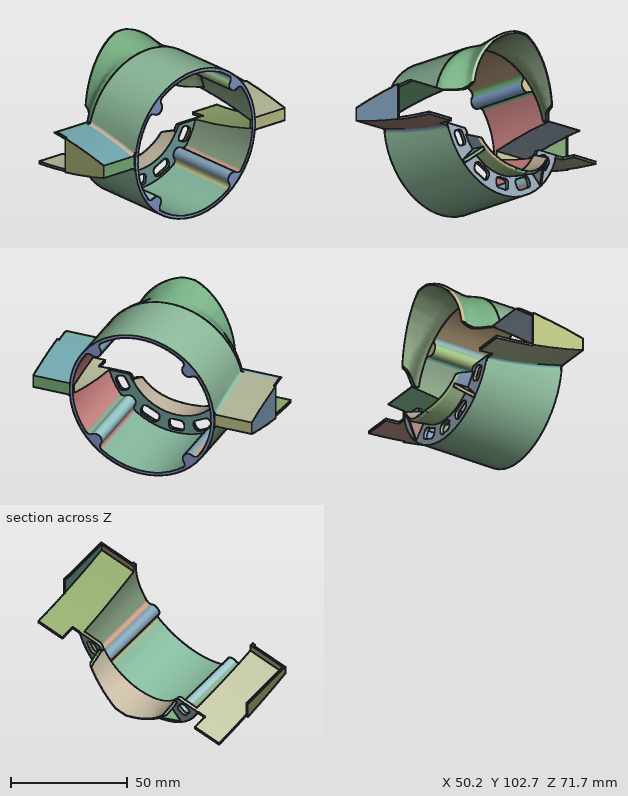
import cadquery as cq
import math

TILT = 1.0
TUBE_R = 34.0
WALL = 1.5
BORE_R = TUBE_R - WALL
UPPER_X = -31.0
FLANGE_X = -37.5
FLANGE_T = 1.5
RIM_OVERRUN_X = -54.0

WING_END_X = -TUBE_R * math.sin(math.radians(TILT))
WING_Y = 50.35
WING_END_Z = 2.85
WING_SLOPE = 0.26
ARCH_R = 203.0
PLATE_T = 1.1
BACK_T = 1.0
TOP_ROUND_X = -30.65
TOP_TIP_X = -34.4
TOP_ROUND_SAG = 0.22
BOTTOM_TIP_X = -44.2
NOTCH_X = -37.4
NOTCH_Y = 36.9
CHEEK_X = -26.0
CHEEK_T = 1.0
ROOT_FILLET = 1.5
ROOT_Y = (30.0, 35.0)
ROOT_Z = 15.0

MOUTH_HALF_W = 24.8
MOUTH_HALF_H = 29.6
MOUTH_CENTRE_Z = 7.28
SHELL_T = 1.2
HOOD_START = math.radians(8)
HOOD_POINTS = 17
HOOD_SECTIONS = 17
SLOPE_STEP = 0.01
HOOD_OVERLAP = 1.0
HOOD_END_X = UPPER_X + HOOD_OVERLAP
HOOD_END_R = TUBE_R - 0.15
SHOULDER_MIN = 2.0
SHOULDER_REACH = 11.0
HOOD_EDGE = [(-45.2, 11.8), (-44.3, 10.8), (-40.0, 8.4), (-37.5, 8.0)]

RIM_X = -49.59
RIM_FLAT_Y = 3.0
RIM_SIDE_X = -44.3
RIM_SIDE_Y = 24.3

LIP_CENTRE_Z = -0.9
LIP_R_FLANGE = 24.2
LIP_R_RIM = 25.8
RIM_FILLET = 1.0
RIM_MARGIN = 0.2
FLANGE_CORNER_R = 2.0
LIP_EDGE = [(-45.8, -13.75), (-37.8, -10.8)]
SLOT_R = 28.7
SLOT_W = 5.1
SLOT_CORNER = 1.9
SLOTS = [(0, 7.2), (25.5, 8.8), (-25.5, 8.8), (61.5, 7.0), (-61.5, 7.0)]
GUSSET_T = 1.6
GUSSET_TIP_X = -44.6
GUSSET_R = 33.4
GUSSET_ANGLE = 44.0
BOSS_R = 2.9
BOSS_CENTRE_R = 31.0
BOSS_ANGLE = 45.0
BOSS_FILLET = 2.0

FAR = 60.0


def x_cylinder(radius, x_start, x_end):
    return cq.Workplane("YZ", origin=(x_start, 0, 0)).circle(radius).extrude(x_end - x_start)


def block(x_range, y_range, z_range):
    corners = (x_range, y_range, z_range)
    sizes = [high - low for low, high in corners]
    middle = tuple((high + low) / 2 for low, high in corners)
    return cq.Workplane("XY").box(*sizes).translate(middle)


def tilted(body):
    return body.rotate((0, 0, 0), (0, 1, 0), TILT)


def y_prism(sketch, half_width):
    return sketch.extrude(half_width, both=True)


def arch_z(x):
    """Height of the outer wing surface above the wing's middle plane."""
    run = WING_END_X - x
    return WING_END_Z + WING_SLOPE * run - run ** 2 / (2 * ARCH_R)


def arch_point(x, side, inset=0.0):
    return (x, side * (arch_z(x) - inset))


def wing_outer():
    """Solid envelope of both wings, wider where the end plates sit."""
    tip = arch_point(TOP_TIP_X, 1, PLATE_T)
    round_mid = arch_point((TOP_TIP_X + TOP_ROUND_X) / 2, 1, TOP_ROUND_SAG)
    mid_x = WING_END_X / 2
    profile = (
        cq.Workplane("XZ")
        .moveTo(*arch_point(WING_END_X, -1))
        .lineTo(*arch_point(WING_END_X, 1))
        .threePointArc(arch_point(mid_x + TOP_ROUND_X / 2, 1), arch_point(TOP_ROUND_X, 1))
        .threePointArc(round_mid, tip)
        .lineTo(*arch_point(BOTTOM_TIP_X, -1, PLATE_T))
        .lineTo(*arch_point(BOTTOM_TIP_X, -1))
        .threePointArc(arch_point(mid_x + BOTTOM_TIP_X / 2, -1), arch_point(WING_END_X, -1))
        .close()
    )
    wing = y_prism(profile, WING_Y + CHEEK_T)
    for side in (1, -1):
        y_range = sorted((side * WING_Y, side * FAR))
        wing = wing.cut(block((-FAR, CHEEK_X), y_range, (-FAR, FAR)))
    return wing


def wing_inner():
    """Duct through both wings, open at the front and closed at the back."""
    back_x = WING_END_X - BACK_T
    front_x = RIM_OVERRUN_X
    mid_x = (back_x + front_x) / 2
    profile = (
        cq.Workplane("XZ")
        .moveTo(*arch_point(back_x, -1, PLATE_T))
        .lineTo(*arch_point(back_x, 1, PLATE_T))
        .threePointArc(arch_point(mid_x, 1, PLATE_T), arch_point(front_x, 1, PLATE_T))
        .lineTo(*arch_point(front_x, -1, PLATE_T))
        .threePointArc(arch_point(mid_x, -1, PLATE_T), arch_point(back_x, -1, PLATE_T))
        .close()
    )
    return y_prism(profile, WING_Y)


def tube_outer():
    """Solid tube envelope; its lower half reaches further forward to the flange."""
    tube = tilted(x_cylinder(TUBE_R, FLANGE_X, 0))
    above_front = tilted(block((-FAR, UPPER_X), (-FAR, FAR), (0, FAR)))
    return tube.cut(above_front)


def tube_and_wings():
    """Both outer shapes joined with filleted roots, then bored; the ducts are still solid."""
    body = tube_outer().union(wing_outer())
    for side in (1, -1):
        y_range = sorted((side * ROOT_Y[0], side * ROOT_Y[1]))
        roots = cq.selectors.BoxSelector((UPPER_X, y_range[0], -ROOT_Z), (-1, y_range[1], ROOT_Z))
        body = body.edges(roots).fillet(ROOT_FILLET)
    notch = block((-FAR, NOTCH_X), (-NOTCH_Y, NOTCH_Y), (-ROOT_Z, ROOT_Z))
    body = body.cut(notch.cut(tube_outer()))
    body = body.cut(tilted(x_cylinder(BORE_R, FLANGE_X + FLANGE_T, FAR)))
    opening = x_cylinder(LIP_R_FLANGE - SHELL_T, -FAR, 0).translate((0, 0, LIP_CENTRE_Z))
    return body.cut(tilted(opening))


def boss(angle, x_start):
    rod = x_cylinder(BOSS_R, x_start, 0).translate((0, 0, -BOSS_CENTRE_R))
    rod = rod.rotate((0, 0, 0), (1, 0, 0), angle)
    return tilted(rod.intersect(x_cylinder(BORE_R + WALL / 2, x_start, 0)))


def add_bosses(body):
    """Four half-round ridges along the bore, blended into the wall."""
    for side in (1, -1):
        body = body.union(boss(side * BOSS_ANGLE, FLANGE_X + FLANGE_T / 2))
        body = body.union(boss(180 + side * BOSS_ANGLE, UPPER_X))
    axis = cq.Vector(math.cos(math.radians(TILT)), 0, -math.sin(math.radians(TILT)))
    near = BOSS_CENTRE_R * math.sin(math.radians(BOSS_ANGLE)) - 2 * BOSS_R
    far = near + 4 * BOSS_R
    for y_side in (1, -1):
        for z_side in (1, -1):
            low, high = sorted((y_side * near, y_side * far))
            bottom, top = sorted((z_side * near, z_side * far))
            zone = cq.selectors.BoxSelector((-FAR, low, bottom), (0, high, top))
            seams = body.edges(cq.selectors.ParallelDirSelector(axis)).edges(zone)
            body = seams.fillet(BOSS_FILLET)
    return body


def round_flange_corners(body):
    """Round the two top corners of the flange opening."""
    back = FLANGE_X + FLANGE_T
    half_width = LIP_R_FLANGE
    depth = arch_z(FLANGE_X)
    low_corner = (FLANGE_X, -half_width, -depth)
    high_corner = (back, half_width, -depth + 2 * PLATE_T)
    zone = cq.selectors.BoxSelector(low_corner, high_corner)
    return body.edges(zone).fillet(FLANGE_CORNER_R)


def mouth_radius(angle):
    """Distance from the tube axis to the mouth ellipse."""
    c = math.cos(angle) / MOUTH_HALF_W
    s = math.sin(angle) / MOUTH_HALF_H
    offset = MOUTH_CENTRE_Z / MOUTH_HALF_H
    a = c ** 2 + s ** 2
    b = s * offset
    return (b + math.sqrt(b ** 2 + a * (1 - offset ** 2))) / a


def hood_radius(x, angle):
    """Outer radius of the hood: a roof-like taper plus an S-shaped shoulder at the sides."""
    x = min(x, UPPER_X)
    length = UPPER_X - RIM_X
    r_mouth = mouth_radius(angle)
    crest_drop = mouth_radius(math.pi / 2) - HOOD_END_R
    drop = crest_drop * math.sin(angle)
    shoulder_length = SHOULDER_REACH * abs(math.cos(angle)) + SHOULDER_MIN
    shoulder_step = HOOD_END_R - r_mouth + drop
    t = min(max(1 + (x - UPPER_X) / shoulder_length, 0), 1)
    return r_mouth - drop * (x - RIM_X) / length + shoulder_step * t * t * (3 - 2 * t)


def hood_section(x, inset):
    """Closed D-shaped section of the hood at x, moved in by the inset measured across the wall."""
    span = math.pi - 2 * HOOD_START
    points = []
    for k in range(HOOD_POINTS):
        angle = HOOD_START + span * k / (HOOD_POINTS - 1)
        rise = hood_radius(x + SLOPE_STEP, angle) - hood_radius(x - SLOPE_STEP, angle)
        grade = rise / (2 * SLOPE_STEP)
        r = hood_radius(x, angle) - inset * math.hypot(1, grade)
        points.append(cq.Vector(x, r * math.cos(angle), r * math.sin(angle)))
    arch = cq.Edge.makeSpline(points)
    return cq.Wire.assembleEdges([arch, cq.Edge.makeLine(points[-1], points[0])])


def hood_loft(inset):
    length = HOOD_END_X - RIM_OVERRUN_X
    stations = [RIM_OVERRUN_X + length * k / (HOOD_SECTIONS - 1) for k in range(HOOD_SECTIONS)]
    return cq.Workplane(cq.Solid.makeLoft([hood_section(x, inset) for x in stations]))


def hood():
    """Thin shell from the tube to the mouth, with its lower side edges cut back."""
    body = hood_loft(0).cut(hood_loft(SHELL_T))
    below = (
        cq.Workplane("XZ")
        .polyline([(-FAR, HOOD_EDGE[0][1])] + HOOD_EDGE + [(0, HOOD_EDGE[-1][1]), (0, 0), (-FAR, 0)])
        .close()
    )
    return rounded_rim(tilted(body)).cut(y_prism(below, FAR))


def lip():
    """Conical spout reaching forward from the flange opening."""
    x_in = FLANGE_X + FLANGE_T
    grow = (LIP_R_RIM - LIP_R_FLANGE) / (FLANGE_X - RIM_X)
    r_in = LIP_R_FLANGE - grow * FLANGE_T
    r_out = LIP_R_FLANGE + grow * (FLANGE_X - RIM_OVERRUN_X)
    ring = (
        cq.Workplane("XY")
        .polyline([
            (x_in, r_in - SHELL_T), (x_in, r_in),
            (RIM_OVERRUN_X, r_out), (RIM_OVERRUN_X, r_out - SHELL_T),
        ])
        .close()
        .revolve(360, (0, 0, 0), (1, 0, 0))
    )
    (x1, z1), (x2, z2) = LIP_EDGE
    keep = (
        cq.Workplane("XZ")
        .polyline([(-FAR, z1), (x1, z1), (x2, z2), (0, z2), (0, -FAR), (-FAR, -FAR)])
        .close()
    )
    ring = ring.translate((0, 0, LIP_CENTRE_Z))
    return rounded_rim(tilted(ring).intersect(y_prism(keep, FAR)))


def plan_outline():
    """Everything behind the trapezoidal front edge shared by hood and lip."""
    return (
        cq.Workplane("XY")
        .polyline([
            (RIM_X, -RIM_FLAT_Y), (RIM_SIDE_X, -RIM_SIDE_Y), (RIM_SIDE_X, -FAR), (FAR, -FAR),
            (FAR, FAR), (RIM_SIDE_X, FAR), (RIM_SIDE_X, RIM_SIDE_Y), (RIM_X, RIM_FLAT_Y),
        ])
        .close()
        .extrude(FAR, both=True)
    )


def rounded_rim(shell):
    """Trim a shell to the plan outline and round the outer edge of its rim."""
    shell = shell.intersect(plan_outline())
    rim_zone = cq.selectors.BoxSelector((-FAR, -FAR, -FAR), (RIM_SIDE_X - RIM_MARGIN, FAR, FAR))
    outer_face = shell.faces(cq.selectors.AreaNthSelector(-1))
    return outer_face.edges(rim_zone).fillet(RIM_FILLET)


def flange_slot(angle, length):
    x_range = (FLANGE_X - FLANGE_T, FLANGE_X + 2 * FLANGE_T)
    slot = block(x_range, (-length / 2, length / 2), (-SLOT_W / 2, SLOT_W / 2))
    slot = slot.edges("|X").fillet(SLOT_CORNER).translate((0, 0, -SLOT_R))
    return tilted(slot.rotate((0, 0, 0), (1, 0, 0), angle))


def gusset(angle):
    """Triangular web between lip and flange."""
    foot_x = FLANGE_X + FLANGE_T / 2
    r_inner = LIP_R_FLANGE - SHELL_T / 4
    r_tip = LIP_R_RIM - SHELL_T / 2
    web = (
        cq.Workplane("XZ")
        .polyline([
            (GUSSET_TIP_X, -r_tip), (foot_x, -r_inner), (foot_x, -GUSSET_R),
            (FLANGE_X, -GUSSET_R), (GUSSET_TIP_X, -LIP_R_RIM),
        ])
        .close()
    )
    return tilted(y_prism(web, GUSSET_T / 2).rotate((0, 0, 0), (1, 0, 0), angle))


body = add_bosses(tube_and_wings()).cut(wing_inner())
body = round_flange_corners(body)
body = body.union(hood()).union(lip())
for slot_angle, slot_length in SLOTS:
    body = body.cut(flange_slot(slot_angle, slot_length))
for side in (1, -1):
    body = body.union(gusset(side * GUSSET_ANGLE))

result = body